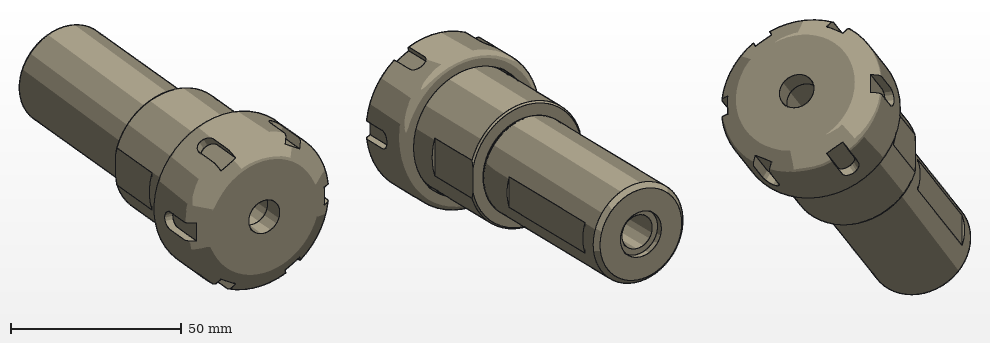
import cadquery as cq
import math

total_length = 111.5

shank_diameter = 31.8
shank_chamfer = 1.5
groove_start = 59.2
groove_diameter = 31.1
collar_start = 59.9
collar_diameter = 40.0
collar_chamfer = 0.6
bore_diameter = 10.7
counterbore_diameter = 14.5
counterbore_depth = 2.0

clamp_flat_start = 6.9
clamp_flat_end = 46.7
clamp_flat_depth = 0.8
wrench_flat_end = 80.0
across_wrench_flats = 38.1

nut_start = 89.0
nut_diameter = 50.0
nut_round = 2.0
nut_face_diameter = 36.2
nut_cone_angle = 60.0
nut_relief_diameter = 41.0
nut_relief_depth = 2.2
nut_wall = 6.7

slot_count = 6
slot_start = 96.3
slot_width = 5.8
slot_floor_radius = 22.2

seat_end = total_length - nut_wall


def cylinder(diameter, start, end):
    """Cylinder on the X axis between two X positions."""
    return cq.Workplane("YZ", origin=(start, 0, 0)).circle(diameter / 2).extrude(end - start)


def block(start, end, y_low, y_high):
    """Block between two X and two Y positions, tall enough to pass through the holder."""
    size = (end - start, y_high - y_low, nut_diameter)
    return cq.Workplane("XY").box(*size, centered=(False, False, True)).translate((start, y_low, 0))


def make_holder():
    shank = cylinder(shank_diameter, 0, groove_start).faces("<X").chamfer(shank_chamfer)
    groove = cylinder(groove_diameter, groove_start, collar_start)
    collar = cylinder(collar_diameter, collar_start, seat_end).faces("<X").chamfer(collar_chamfer)

    flat_y = shank_diameter / 2 - clamp_flat_depth
    shank = shank.cut(block(clamp_flat_start, clamp_flat_end, flat_y, shank_diameter))

    flat_y = across_wrench_flats / 2
    collar = collar.cut(block(collar_start, wrench_flat_end, flat_y, nut_diameter))
    collar = collar.cut(block(collar_start, wrench_flat_end, -nut_diameter, -flat_y))

    holder = shank.union(groove).union(collar)
    holder = holder.cut(cylinder(bore_diameter, 0, seat_end))
    return holder.cut(cylinder(counterbore_diameter, 0, counterbore_depth))


def make_nut_blank():
    """Solid nut: rounded rear edge, cylinder, rounded shoulder, front cone and rounded front edge."""
    radius = nut_diameter / 2
    face_radius = nut_face_diameter / 2
    angle = math.radians(nut_cone_angle)

    turn = math.pi / 2 - angle
    corner_radius = face_radius + nut_round * math.tan(turn / 2)
    edge_radius = face_radius + nut_round * math.sin(turn)
    edge_start = total_length - nut_round * (1 - math.cos(turn))
    edge_middle = (
        total_length - nut_round * (1 - math.cos(turn / 2)),
        face_radius + nut_round * math.sin(turn / 2),
    )

    shoulder_radius = radius - nut_round * (1 - math.cos(angle))
    shoulder_end = total_length - (shoulder_radius - corner_radius) / math.tan(angle)
    shoulder_start = shoulder_end - nut_round * math.sin(angle)
    shoulder_middle = (
        shoulder_start + nut_round * math.sin(angle / 2),
        radius - nut_round * (1 - math.cos(angle / 2)),
    )
    rear_middle = (
        nut_start + nut_round * (1 - math.sqrt(0.5)),
        radius - nut_round * (1 - math.sqrt(0.5)),
    )
    return (
        cq.Workplane("XY")
        .moveTo(nut_start, 0)
        .lineTo(nut_start, radius - nut_round)
        .threePointArc(rear_middle, (nut_start + nut_round, radius))
        .lineTo(shoulder_start, radius)
        .threePointArc(shoulder_middle, (shoulder_end, shoulder_radius))
        .lineTo(edge_start, edge_radius)
        .threePointArc(edge_middle, (total_length, face_radius))
        .lineTo(total_length, 0)
        .close()
        .revolve(360, (0, 0, 0), (1, 0, 0))
    )


def make_slot_cutter():
    """Round-ended slot on the +Y side, open toward the front of the nut."""
    half_width = slot_width / 2
    straight_start = slot_start + half_width
    return (
        cq.Workplane("XZ", origin=(0, slot_floor_radius, 0))
        .moveTo(total_length, half_width)
        .lineTo(straight_start, half_width)
        .threePointArc((slot_start, 0), (straight_start, -half_width))
        .lineTo(total_length, -half_width)
        .close()
        .extrude(slot_floor_radius - nut_diameter)
    )


def make_nut():
    nut = make_nut_blank()
    nut = nut.cut(cylinder(collar_diameter, nut_start, seat_end))
    nut = nut.cut(cylinder(nut_relief_diameter, nut_start, nut_start + nut_relief_depth))
    nut = nut.cut(cylinder(bore_diameter, seat_end, total_length))
    slot = make_slot_cutter()
    for index in range(slot_count):
        nut = nut.cut(slot.rotate((0, 0, 0), (1, 0, 0), index * 360 / slot_count))
    return nut


holder = make_holder()
nut = make_nut()

result = cq.Compound.makeCompound([holder.solids().val(), nut.solids().val()])